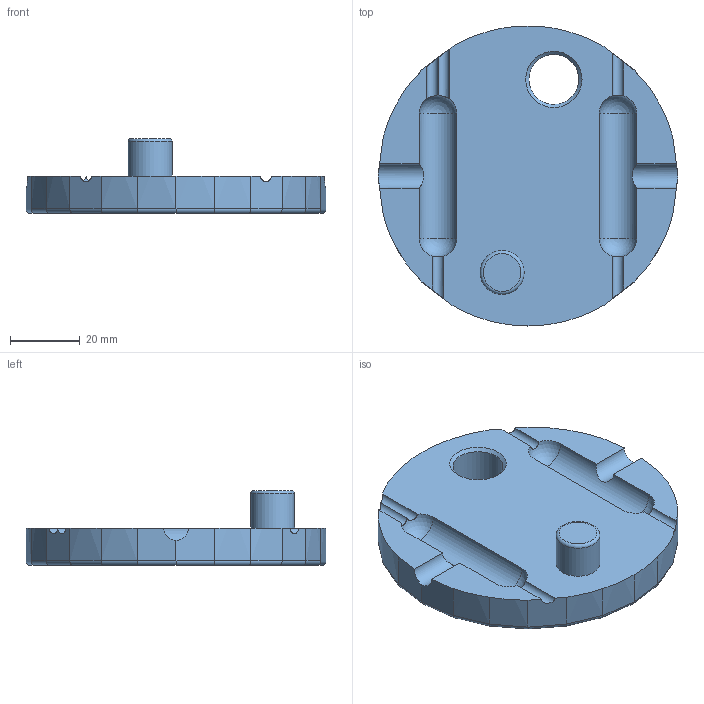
import cadquery as cq
import math

disc_radius = 43.13
disc_thickness = 10.78
facet_count = 24
facet_step = 360 / facet_count
flat_facets_per_quadrant = (0, 3)
bottom_fillet = 1.3

pin_circle_radius = 28.75
hole_angle = 75
pin_diameter = 12.65
pin_height = 10.78
pin_edge_fillet = 0.9
hole_diameter = 14.38
hole_mouth_chamfer = 0.9

pocket_offset = 25.875
pocket_radius = 5.39
pocket_half_length = 18.0
groove_radius = 1.6
twin_groove_offset = 1.58
side_channel_radius = 3.56


def rim_point(index, height):
    """Point on the rim circle, counted in facets from +X."""
    angle = math.radians(index * facet_step)
    return cq.Vector(disc_radius * math.cos(angle), disc_radius * math.sin(angle), height)


def is_flat_facet(index):
    """Flat facets mirror from the first quadrant into the other three."""
    half = facet_count // 2
    folded = index % half
    mirrored = min(folded, half - 1 - folded)
    return mirrored in flat_facets_per_quadrant


def rim_wire(height, rounded):
    """Rim outline: a regular polygon, or one with arcs in place of the non-flat sides."""
    edges = []
    for index in range(facet_count):
        start = rim_point(index, height)
        end = rim_point(index + 1, height)
        if rounded and not is_flat_facet(index):
            middle = rim_point(index + 0.5, height)
            edges.append(cq.Edge.makeThreePointArc(start, middle, end))
        else:
            edges.append(cq.Edge.makeLine(start, end))
    return cq.Wire.assembleEdges(edges)


def make_disc():
    """Polygonal filleted base whose sides blend into a mostly round top edge."""
    base = cq.Workplane("XY").polygon(facet_count, 2 * disc_radius).extrude(2 * bottom_fillet)
    base = base.faces("<Z").edges().fillet(bottom_fillet)
    base = base.intersect(cq.Workplane("XY").circle(2 * disc_radius).extrude(bottom_fillet))
    polygon_wire = rim_wire(bottom_fillet, rounded=False)
    top_wire = rim_wire(disc_thickness, rounded=True)
    wall = cq.Solid.makeLoft([polygon_wire, top_wire], True)
    return base.union(cq.Workplane(wall))


def pin_circle_point(angle):
    return (pin_circle_radius * math.cos(math.radians(angle)),
            pin_circle_radius * math.sin(math.radians(angle)))


def make_pin():
    """Pin rising through the disc, with a rounded top edge."""
    x, y = pin_circle_point(hole_angle + 180)
    pin = cq.Workplane("XY").center(x, y).circle(pin_diameter / 2).extrude(disc_thickness + pin_height)
    return pin.faces(">Z").edges().fillet(pin_edge_fillet)


def make_hole_cutter():
    """Through bore with a chamfered mouth in the top face."""
    x, y = pin_circle_point(hole_angle)
    bore = cq.Workplane("XY").center(x, y).circle(hole_diameter / 2).extrude(disc_thickness)
    mouth_radius = hole_diameter / 2 + hole_mouth_chamfer
    mouth = cq.Solid.makeCone(hole_diameter / 2, mouth_radius, hole_mouth_chamfer,
                              cq.Vector(x, y, disc_thickness - hole_mouth_chamfer))
    return bore.union(cq.Workplane(mouth))


def channel_cutter(radius, start, direction, length):
    """Cylinder lying in the top face, which cuts a half-round channel."""
    x, y = start
    origin = cq.Vector(x, y, disc_thickness)
    return cq.Workplane(cq.Solid.makeCylinder(radius, length, origin, cq.Vector(*direction)))


def make_pocket_cutter(x):
    """Half-round pocket along Y with spherical ends."""
    cutter = channel_cutter(pocket_radius, (x, -pocket_half_length), (0, 1, 0), 2 * pocket_half_length)
    for y in (-pocket_half_length, pocket_half_length):
        end = cq.Workplane("XY").sphere(pocket_radius).translate((x, y, disc_thickness))
        cutter = cutter.union(end)
    return cutter


def make_groove_cutter(x, side):
    """Narrow groove from a pocket end out to the rim; side is +1 for +Y and -1 for -Y."""
    return channel_cutter(groove_radius, (x, side * pocket_half_length), (0, side, 0), disc_radius)


def make_side_channel_cutter(side):
    """Channel along X from the middle of a pocket out to the rim."""
    return channel_cutter(side_channel_radius, (side * pocket_offset, 0), (side, 0, 0), disc_radius)


result = make_disc()
result = result.union(make_pin())
result = result.cut(make_hole_cutter())
for side in (-1, 1):
    result = result.cut(make_pocket_cutter(side * pocket_offset))
    result = result.cut(make_side_channel_cutter(side))
    result = result.cut(make_groove_cutter(side * pocket_offset, -1))
result = result.cut(make_groove_cutter(pocket_offset, 1))
for shift in (-twin_groove_offset, twin_groove_offset):
    result = result.cut(make_groove_cutter(-pocket_offset + shift, 1))